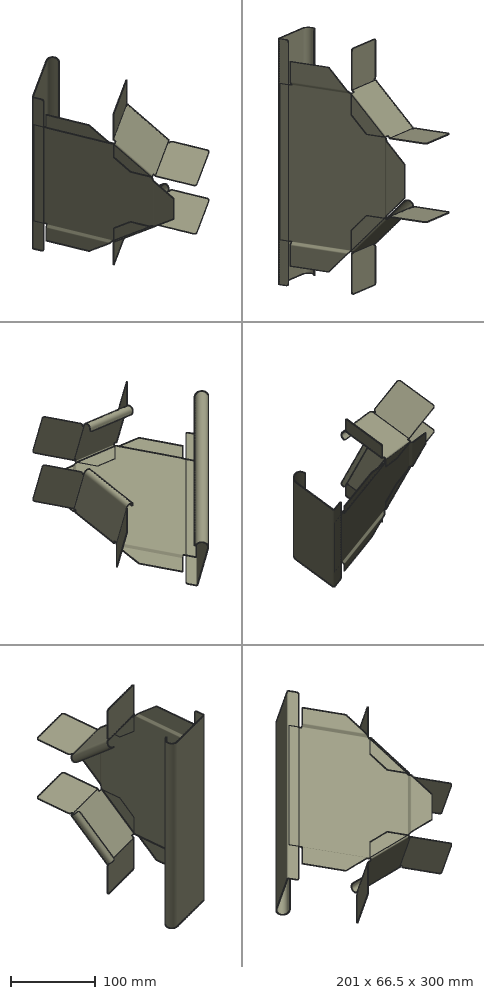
import cadquery as cq
import math

total_depth = 201.0
total_height = 300.0
half_height = total_height / 2

sheet = 1.05
bend_outer = 2.0
corner_round = 3.0
length_tolerance = 0.003
bend_inner = bend_outer - sheet

slant = 45.0
slant_leg = math.sqrt(0.5)
miter = sheet * math.tan(math.radians(slant / 2))

curl_end_angle = math.radians(20)
curl_tip = 4.0

rail_top = 64.5
rail_curl_radius = 8.0
rail_lip = 14.0

bracket_top = 62.0
bracket_curl_radius = 5.7
wall_length = 73.2
flange_width = 18.3
flange_half_length = 33.0
tab_length = 49.8
tab_bottom = 4.2
tab_top = 58.5
bend_stub = 1.2

plate_half_height = 95.5
plate_depth = 146.5
skirt_half_height = 124.8
skirt_depth = 175.2
skirt_start = 17.7
skirt_front = -2.0
plate_front = sheet
joggle_inner = 1.0
diagonal_gap = 3.0

half_wall = wall_length / 2
upper_corner_z = half_height - tab_length
right_corner_x = total_depth - tab_length
wall_shift = half_wall * slant_leg
wall_centre_x = right_corner_x - wall_shift
wall_centre_z = upper_corner_z - wall_shift
diagonal_sum = wall_centre_x + wall_centre_z - diagonal_gap / slant_leg


def curled_strip(plane, lip, top, radius, length):
    """Extrude lip + wall + curled rim; local x points from the wall towards the lip's free edge."""
    centre_y = top - radius
    inner = radius - sheet
    bend_mid = bend_outer * (1 - slant_leg)
    bend_inner_mid = bend_outer - bend_inner * slant_leg
    cos_a = math.cos(curl_end_angle)
    sin_a = math.sin(curl_end_angle)

    def on_curl(r):
        return (radius + r * cos_a, centre_y + r * sin_a)

    def on_tip(r):
        x, y = on_curl(r)
        return (x + curl_tip * sin_a, y - curl_tip * cos_a)

    strip = (
        cq.Workplane(plane)
        .moveTo(lip, 0)
        .lineTo(bend_outer, 0)
        .threePointArc((bend_mid, bend_mid), (0, bend_outer))
        .lineTo(0, centre_y)
        .threePointArc((radius, top), on_curl(radius))
        .lineTo(*on_tip(radius))
        .lineTo(*on_tip(inner))
        .lineTo(*on_curl(inner))
        .threePointArc((radius, top - sheet), (sheet, centre_y))
        .lineTo(sheet, bend_outer)
        .threePointArc((bend_inner_mid, bend_inner_mid), (bend_outer, sheet))
        .lineTo(lip, sheet)
        .close()
        .extrude(length / 2, both=True)
    )
    free_corners = [
        edge for edge in strip.edges().vals()
        if edge.geomType() == "LINE" and abs(edge.Length() - sheet) < length_tolerance
    ]
    return strip.newObject(free_corners).fillet(corner_round)


def make_rail():
    return curled_strip(cq.Plane.XY(), rail_lip, rail_top, rail_curl_radius, total_height)


def end_tab():
    """Flat tab at the bracket's +X end: a plate with three rounded corners, tilted 45 degrees."""
    tab = (
        cq.Workplane("XY", origin=(bend_stub, tab_bottom, -sheet))
        .rect(tab_length - bend_stub, tab_top - tab_bottom, centered=False)
        .extrude(sheet)
    )
    outer_corners = tab.edges("|Z").edges(">X")
    inner_corner = tab.edges("|Z").edges("<X").edges(">Y")
    return (
        outer_corners.add(inner_corner)
        .fillet(corner_round)
        .rotate((0, 0, 0), (0, 1, 0), -slant)
        .translate((half_wall, 0, 0))
    )


def end_bend():
    """Bend that joins the wall to the tab at the bracket's +X end."""
    stub = bend_stub * slant_leg
    skew = sheet * slant_leg
    bend = (
        cq.Workplane("XZ", origin=(half_wall, tab_bottom, 0))
        .polyline([
            (-bend_stub, 0), (0, 0), (stub, stub),
            (stub + skew, stub - skew), (miter, -sheet), (-bend_stub, -sheet),
        ])
        .close()
        .extrude(-(tab_top - corner_round - tab_bottom))
    )
    middle_y = (tab_bottom + tab_top) / 2
    bend = bend.edges(cq.NearestToPointSelector((half_wall, middle_y, 0))).fillet(bend_inner)
    return bend.edges(cq.NearestToPointSelector((half_wall + miter, middle_y, -sheet))).fillet(bend_outer)


def flange_end_trim():
    """Waste at the +X end of the bracket's bottom flange, cut off at 45 degrees."""
    inner_z = -(bend_outer + flange_width)
    return (
        cq.Workplane("XZ")
        .polyline([
            (flange_half_length, 0), (flange_half_length, -bend_outer),
            (flange_half_length - flange_width, inner_z), (half_wall, inner_z), (half_wall, 0),
        ])
        .close()
        .extrude(-tab_bottom)
    )


def make_upper_bracket():
    """Bracket built with its wall along X and its outer face at Z = 0, then turned into place."""
    section = cq.Plane(origin=(0, 0, 0), xDir=(0, 0, -1), normal=(1, 0, 0))
    lip = bend_outer + flange_width
    bracket = curled_strip(section, lip, bracket_top, bracket_curl_radius, wall_length)

    trim = flange_end_trim()
    bracket = bracket.cut(trim).cut(trim.mirror("YZ"))
    end = end_bend().union(end_tab())
    bracket = bracket.union(end).union(end.mirror("YZ"))
    return (
        bracket.rotate((0, 0, 0), (0, 1, 0), slant)
        .translate((wall_centre_x, 0, wall_centre_z))
    )


def joggled_skirt(fold, end, width):
    """Skirt along X, stepping forward from fold to end, with a short flat root inside the plate."""
    joggle_outer = joggle_inner + sheet
    root = fold - joggle_outer
    start = fold + joggle_inner * math.tan(math.radians(slant / 2))
    finish = start + plate_front - skirt_front
    plate_back = plate_front + sheet
    skirt_back = skirt_front + sheet
    skirt = (
        cq.Workplane("XY")
        .polyline([
            (root, plate_front), (start, plate_front), (finish, skirt_front), (end, skirt_front),
            (end, skirt_back), (finish + miter, skirt_back), (start + miter, plate_back), (root, plate_back),
        ])
        .close()
        .extrude(width / 2, both=True)
    )
    bends = [
        (start, plate_front, joggle_inner),
        (start + miter, plate_back, joggle_outer),
        (finish, skirt_front, joggle_outer),
        (finish + miter, skirt_back, joggle_inner),
    ]
    for x, y, radius in bends:
        skirt = skirt.edges("|Z").edges(cq.NearestToPointSelector((x, y, 0))).fillet(radius)
    return skirt


def make_base_plate():
    flat = (
        cq.Workplane("XZ", origin=(0, plate_front, 0))
        .moveTo(bend_outer, -plate_half_height)
        .rect(plate_depth - bend_outer, 2 * plate_half_height, centered=False)
        .extrude(-sheet)
    )
    right_skirt = joggled_skirt(plate_depth, skirt_depth, 2 * plate_half_height)

    upper_skirt_width = plate_depth - skirt_start
    upper_skirt = (
        joggled_skirt(plate_half_height, skirt_half_height, upper_skirt_width)
        .rotate((0, 0, 0), (0, 1, 0), -90)
        .translate((skirt_start + upper_skirt_width / 2, 0, 0))
    )
    plate = flat.union(right_skirt).union(upper_skirt).union(upper_skirt.mirror("XY"))

    outline = (
        cq.Workplane("XZ", origin=(0, skirt_front, 0))
        .polyline([
            (0, -half_height), (diagonal_sum - half_height, -half_height), (diagonal_sum, 0),
            (diagonal_sum - half_height, half_height), (0, half_height),
        ])
        .close()
        .extrude(-(plate_front + sheet - skirt_front))
    )
    return plate.intersect(outline)


rail = make_rail()
base_plate = make_base_plate()
upper_bracket = make_upper_bracket()
brackets = [upper_bracket, upper_bracket.mirror("XY")]

result = cq.Compound.makeCompound([
    rail.val(),
    base_plate.val(),
    *[bracket.val() for bracket in brackets],
])